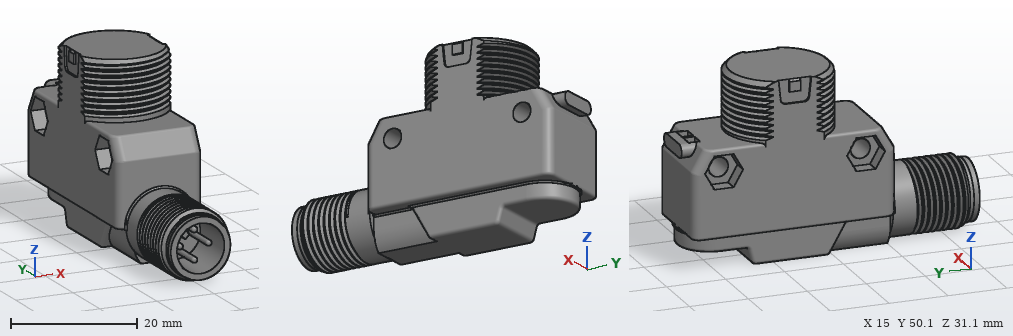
import cadquery as cq
import math

OVERALL_HEIGHT = 31.1
REAR_END_Y = 17.86
CONNECTOR_END_Y = -32.25
THREAD_PITCH = 1.0
THREAD_DEPTH = 0.62
THREAD_ROOT_WIDTH = 0.1
THREAD_MOUTH_WIDTH = 0.92
GROOVE_OVERSHOOT = 0.1
PICK_MARGIN = 0.1

BODY_WIDTH = 15.0
BODY_LENGTH = 34.5
BODY_BOTTOM_Z = 5.9
BODY_TOP_Z = 20.9
BODY_SLOPE_RUN = 2.15
BODY_SLOPE_ANGLE = math.radians(60)
BODY_SIDE_RADIUS = 1.5
BODY_EDGE_RADIUS = 0.5
HALF_WIDTH = BODY_WIDTH / 2
HALF_LENGTH = BODY_LENGTH / 2
BODY_SHOULDER_Z = BODY_TOP_Z - BODY_SLOPE_RUN * math.tan(BODY_SLOPE_ANGLE)

MOUNT_SPACING = 24.1
MOUNT_Z = 17.07
MOUNT_HOLE_DIAMETER = 3.3
NUT_SIDES = 6
NUT_ACROSS_FLATS = 5.6
NUT_DEPTH = 2.5

NOSE_DIAMETER = 18.0
NOSE_CHAMFER = 0.8
NOSE_THREAD_START_Z = 21.43
NOSE_THREAD_END_Z = 30.5
NOSE_RADIUS = NOSE_DIAMETER / 2

RECESS_DEPTH = 0.35
RECESS_TOP_WIDTH = 5.55
RECESS_BOTTOM_WIDTH = 4.7
RECESS_HEIGHT = 4.0
RECESS_CORNER_RADIUS = 0.9
TAB_WIDTH = 1.85
TAB_HEIGHT = 2.05

BASE_WIDTH = 11.1
BASE_FLOOR_Z = 2.9
BASE_REAR_STEP_Y = 7.1
BASE_REAR_TOE_Y = 6.3
BASE_TOE_RADIUS = 0.8
BASE_SLOPE_EDGE_RADIUS = 0.5
BASE_FRONT_TOE_Y = -6.55
BASE_FRONT_TOP_Y = -9.95
BASE_EDGE_RADIUS = 0.6
FLANGE_HEIGHT = 0.3
FLANGE_TAPER = -45

CONNECTOR_DIAMETER = 12.0
CONNECTOR_AXIS_Z = 6.1
COLLAR_END_Y = -21.3
SADDLE_WIDTH = 9.4
SADDLE_BOTTOM_WIDTH = 6.7
SADDLE_SIDE_Z = 3.35
CONNECTOR_ROOT_END_Y = -31.25
CONNECTOR_TIP_RADIUS = 5.22
CONNECTOR_CREST_END_Y = -30.6
CONNECTOR_CREST_CHAMFER = 0.7
CONNECTOR_RUNOUT_RADIUS = 5.28
CONNECTOR_THREAD_START = 21.23
CONNECTOR_THREAD_END = 31.2
CONNECTOR_FLARE = 0.3
BORE_DIAMETER = 8.3
BORE_DEPTH = 9.0
PIN_COUNT = 4
PIN_DIAMETER = 1.0
PIN_LENGTH = 7.0
PIN_CIRCLE_RADIUS = 2.5
PIN_TIP_RADIUS = 0.4
KEY_SIZE = 1.1
KEY_OFFSET = 2.5
KEY_SETBACK = 0.4
CONNECTOR_RADIUS = CONNECTOR_DIAMETER / 2

WINDOW_WIDTH = 7.8
WINDOW_HEIGHT = 2.3
WINDOW_FRONT_Y = 14.3
NOTCH_REAR_Y = 16.2
NOTCH_WIDTH = 2.35
NOTCH_GAP = 0.65
NOTCH_DEPTH = 1.9


def make_threaded_rod(radius, length, thread_start, thread_end, end_chamfer):
    """Rod from the origin along Z with a right-handed V groove and a chamfered far end."""
    root_radius = radius - THREAD_DEPTH
    outer_radius = radius + GROOVE_OVERSHOOT
    half_root = THREAD_ROOT_WIDTH / 2
    half_mouth = THREAD_MOUTH_WIDTH / 2
    helix = cq.Wire.makeHelix(THREAD_PITCH, thread_end - thread_start, root_radius)
    groove = (
        cq.Workplane("XZ")
        .polyline([
            (outer_radius, -half_mouth),
            (root_radius, -half_root),
            (root_radius, half_root),
            (outer_radius, half_mouth),
        ])
        .close()
        .sweep(cq.Workplane(helix), isFrenet=True)
        .translate((0, 0, thread_start))
    )
    rod = cq.Workplane("XY").circle(radius).extrude(length).cut(groove)
    envelope = (
        cq.Workplane("XY")
        .circle(2 * radius)
        .extrude(length)
        .faces(">Z")
        .chamfer(radius + end_chamfer)
    )
    return rod.intersect(envelope)


def make_body():
    body = (
        cq.Workplane("YZ")
        .polyline([
            (-HALF_LENGTH, BODY_BOTTOM_Z),
            (HALF_LENGTH, BODY_BOTTOM_Z),
            (HALF_LENGTH, BODY_SHOULDER_Z),
            (HALF_LENGTH - BODY_SLOPE_RUN, BODY_TOP_Z),
            (-HALF_LENGTH + BODY_SLOPE_RUN, BODY_TOP_Z),
            (-HALF_LENGTH, BODY_SHOULDER_Z),
        ])
        .close()
        .extrude(HALF_WIDTH, both=True)
    )
    side_edges = body.faces("<X or >X").edges("not |Y")
    body = body.newObject(side_edges.vals()).fillet(BODY_SIDE_RADIUS)
    shoulders = cq.selectors.BoxSelector(
        (-HALF_WIDTH, -HALF_LENGTH - PICK_MARGIN, BODY_SHOULDER_Z - PICK_MARGIN),
        (HALF_WIDTH, HALF_LENGTH + PICK_MARGIN, BODY_SHOULDER_Z + PICK_MARGIN),
    )
    body = body.edges(shoulders).edges("|X").fillet(BODY_EDGE_RADIUS)
    return body.faces("<Z or >Z").edges().fillet(BODY_EDGE_RADIUS)


def make_nose():
    rod = make_threaded_rod(
        NOSE_RADIUS, OVERALL_HEIGHT, NOSE_THREAD_START_Z, NOSE_THREAD_END_Z, NOSE_CHAMFER
    )
    bottom_z = BODY_BOTTOM_Z + 2 * BODY_EDGE_RADIUS
    flats = (
        cq.Workplane("XY", origin=(0, 0, bottom_z))
        .rect(BODY_WIDTH, 2 * NOSE_DIAMETER)
        .extrude(OVERALL_HEIGHT)
    )
    return rod.intersect(flats)


def make_recess():
    """Cutter for the recess on the -X flat, leaving the tab standing."""
    bottom_z = OVERALL_HEIGHT - RECESS_HEIGHT
    outline = (
        cq.Workplane("YZ")
        .polyline([
            (-RECESS_TOP_WIDTH / 2, OVERALL_HEIGHT),
            (-RECESS_BOTTOM_WIDTH / 2, bottom_z),
            (RECESS_BOTTOM_WIDTH / 2, bottom_z),
            (RECESS_TOP_WIDTH / 2, OVERALL_HEIGHT),
        ])
        .close()
        .extrude(RECESS_DEPTH)
        .edges("|X and <Z")
        .fillet(RECESS_CORNER_RADIUS)
    )
    tab_bottom_z = OVERALL_HEIGHT - TAB_HEIGHT
    tab = (
        cq.Workplane("XZ")
        .polyline([
            (0, tab_bottom_z),
            (RECESS_DEPTH, tab_bottom_z),
            (RECESS_DEPTH, OVERALL_HEIGHT),
            (0, OVERALL_HEIGHT - RECESS_DEPTH),
        ])
        .close()
        .extrude(TAB_WIDTH / 2, both=True)
    )
    return outline.cut(tab).translate((-HALF_WIDTH, 0, 0))


def base_plan(z, front_y):
    """Outline of the base seen along Z, with a full round at the rear."""
    half_width = BASE_WIDTH / 2
    return (
        cq.Workplane("XY", origin=(0, 0, z))
        .moveTo(-half_width, front_y)
        .lineTo(-half_width, HALF_LENGTH - half_width)
        .threePointArc((0, HALF_LENGTH), (half_width, HALF_LENGTH - half_width))
        .lineTo(half_width, front_y)
        .close()
    )


def make_base():
    top_z = BODY_BOTTOM_Z + BODY_EDGE_RADIUS
    plan = base_plan(0, -HALF_LENGTH).extrude(top_z)
    front_slope = (BASE_FRONT_TOP_Y - BASE_FRONT_TOE_Y) / BODY_BOTTOM_Z
    profile = (
        cq.Workplane("YZ")
        .polyline([
            (HALF_LENGTH, top_z),
            (HALF_LENGTH, BASE_FLOOR_Z),
            (BASE_REAR_STEP_Y, BASE_FLOOR_Z),
            (BASE_REAR_TOE_Y, 0),
            (BASE_FRONT_TOE_Y, 0),
            (BASE_FRONT_TOE_Y + front_slope * top_z, top_z),
        ])
        .close()
        .extrude(BASE_WIDTH, both=True)
    )
    rear_toe = cq.selectors.NearestToPointSelector((0, BASE_REAR_TOE_Y, 0))
    base = plan.intersect(profile.edges(rear_toe).fillet(BASE_TOE_RADIUS))
    lower_rim = cq.selectors.BoxSelector(
        (-BASE_WIDTH, BASE_FRONT_TOE_Y + PICK_MARGIN, -PICK_MARGIN),
        (BASE_WIDTH, HALF_LENGTH + PICK_MARGIN, BASE_FLOOR_Z + PICK_MARGIN),
    )
    base = base.edges(lower_rim).fillet(BASE_EDGE_RADIUS)
    return base.faces("<Y").edges("not |X").fillet(BASE_SLOPE_EDGE_RADIUS)


def make_saddle():
    """Round-bottomed ridge under the body, running back from the connector."""
    half_width = SADDLE_WIDTH / 2
    half_bottom = SADDLE_BOTTOM_WIDTH / 2
    top_z = BODY_BOTTOM_Z + BODY_EDGE_RADIUS
    inset = half_width - half_bottom
    side_radius = (inset ** 2 + SADDLE_SIDE_Z ** 2) / (2 * inset)
    mid_angle = math.asin(SADDLE_SIDE_Z / side_radius) / 2
    mid_x = half_width - side_radius * (1 - math.cos(mid_angle))
    mid_z = SADDLE_SIDE_Z - side_radius * math.sin(mid_angle)
    return (
        cq.Workplane("XZ")
        .moveTo(-half_bottom, 0)
        .lineTo(half_bottom, 0)
        .threePointArc((mid_x, mid_z), (half_width, SADDLE_SIDE_Z))
        .lineTo(half_width, top_z)
        .lineTo(-half_width, top_z)
        .lineTo(-half_width, SADDLE_SIDE_Z)
        .threePointArc((-mid_x, mid_z), (-half_bottom, 0))
        .close()
        .extrude(HALF_LENGTH)
    )


def make_flange():
    """Sloped lip where the base and saddle meet the underside of the body."""
    bottom_z = BODY_BOTTOM_Z - FLANGE_HEIGHT
    base_lip = base_plan(bottom_z, BASE_FRONT_TOP_Y).extrude(FLANGE_HEIGHT, taper=FLANGE_TAPER)
    saddle_lip = (
        cq.Workplane("XY", origin=(0, -HALF_LENGTH / 2, bottom_z))
        .rect(SADDLE_WIDTH, HALF_LENGTH)
        .extrude(FLANGE_HEIGHT, taper=FLANGE_TAPER)
    )
    footprint = cq.Workplane("XY").rect(BODY_WIDTH, BODY_LENGTH).extrude(BODY_TOP_Z)
    return base_lip.union(saddle_lip).intersect(footprint)


def connector_plane(y):
    """Plane across the connector axis whose normal points along -Y."""
    return cq.Workplane("XZ", origin=(0, y, CONNECTOR_AXIS_Z))


def make_connector():
    collar_length = -HALF_LENGTH - COLLAR_END_Y
    runout_length = CONNECTOR_CREST_END_Y - CONNECTOR_ROOT_END_Y
    tip_length = CONNECTOR_ROOT_END_Y - CONNECTOR_END_Y
    collar = connector_plane(-HALF_LENGTH).circle(CONNECTOR_RADIUS).extrude(collar_length)
    runout = connector_plane(CONNECTOR_CREST_END_Y).circle(CONNECTOR_RUNOUT_RADIUS).extrude(runout_length)
    tip = connector_plane(CONNECTOR_ROOT_END_Y).circle(CONNECTOR_TIP_RADIUS).extrude(tip_length)
    flare = (
        connector_plane(-HALF_LENGTH)
        .circle(CONNECTOR_RADIUS + CONNECTOR_FLARE)
        .workplane(offset=CONNECTOR_FLARE)
        .circle(CONNECTOR_RADIUS)
        .loft()
    )
    above_body_bottom = (
        cq.Workplane("XY", origin=(0, 0, BODY_BOTTOM_Z))
        .rect(BODY_WIDTH, 2 * BODY_LENGTH)
        .extrude(BODY_TOP_Z)
    )
    flare = flare.intersect(above_body_bottom)
    rod = make_threaded_rod(
        CONNECTOR_RADIUS,
        -CONNECTOR_CREST_END_Y,
        CONNECTOR_THREAD_START,
        CONNECTOR_THREAD_END,
        CONNECTOR_CREST_CHAMFER,
    )
    threaded = (
        rod
        .rotate((0, 0, 0), (1, 0, 0), 90)
        .translate((0, 0, CONNECTOR_AXIS_Z))
        .intersect(connector_plane(COLLAR_END_Y).circle(CONNECTOR_DIAMETER).extrude(BODY_LENGTH))
    )
    return threaded.union(collar).union(runout).union(tip).union(flare)


def make_socket():
    """Cutter for the connector bore, leaving four pins and the key standing."""
    floor_y = CONNECTOR_END_Y + BORE_DEPTH
    bore = connector_plane(floor_y).circle(BORE_DIAMETER / 2).extrude(BORE_DEPTH)
    pins = (
        connector_plane(floor_y)
        .polarArray(PIN_CIRCLE_RADIUS, 0, 360, PIN_COUNT)
        .circle(PIN_DIAMETER / 2)
        .extrude(PIN_LENGTH)
        .faces("<Y")
        .edges()
        .fillet(PIN_TIP_RADIUS)
    )
    key = (
        connector_plane(floor_y)
        .center(-KEY_OFFSET, KEY_OFFSET)
        .transformed(rotate=(0, 0, 45))
        .rect(KEY_SIZE, KEY_SIZE)
        .extrude(BORE_DEPTH - KEY_SETBACK)
    )
    return bore.cut(pins).cut(key)


def make_window():
    return (
        cq.Workplane("XZ", origin=(0, REAR_END_Y, BODY_TOP_Z - WINDOW_HEIGHT / 2))
        .slot2D(WINDOW_WIDTH, WINDOW_HEIGHT)
        .extrude(REAR_END_Y - WINDOW_FRONT_Y)
    )


def make_notches():
    notch = (
        cq.Workplane("YZ")
        .polyline([
            (WINDOW_FRONT_Y, BODY_TOP_Z),
            (WINDOW_FRONT_Y, BODY_TOP_Z - NOTCH_DEPTH),
            (NOTCH_REAR_Y, BODY_TOP_Z),
        ])
        .close()
        .extrude(NOTCH_WIDTH / 2, both=True)
    )
    offset = (NOTCH_WIDTH + NOTCH_GAP) / 2
    return notch.translate((-offset, 0, 0)).union(notch.translate((offset, 0, 0)))


def cut_mounts(part):
    nut_corner_diameter = NUT_ACROSS_FLATS / math.cos(math.pi / NUT_SIDES)
    for side in (-1, 1):
        center = cq.Workplane("YZ", origin=(-HALF_WIDTH, side * MOUNT_SPACING / 2, MOUNT_Z))
        part = part.cut(center.circle(MOUNT_HOLE_DIAMETER / 2).extrude(BODY_WIDTH))
        part = part.cut(center.polygon(NUT_SIDES, nut_corner_diameter).extrude(NUT_DEPTH))
    return part


part = make_body()
for feature in (make_base(), make_saddle(), make_flange(), make_connector(), make_window(), make_nose()):
    part = part.union(feature)
part = cut_mounts(part)
recess = make_recess()
for cutter in (recess, recess.mirror("YZ"), make_notches(), make_socket()):
    part = part.cut(cutter)
result = part